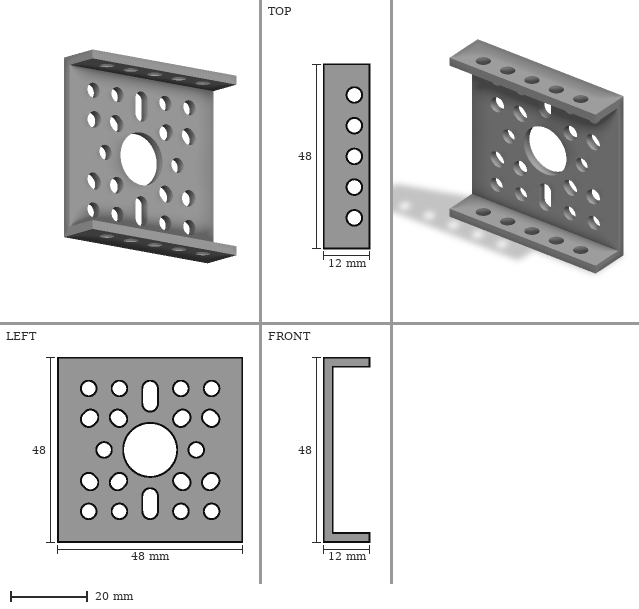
import cadquery as cq
import math

size = 48.0
depth = size / 4
wall = 2.4

pitch = size / 6
hole_diameter = pitch / 2
bore_diameter = 14.0
slot_length = pitch
slot_height = 7 * pitch / 4
side_hole_offset = 1.5 * pitch
stretch = 0.5


def web_cutter():
    """Start a sketch plane on the outer web face; local x is +Y, local y is +Z."""
    return cq.Workplane("YZ")


def diagonal_slot(y, z, y_direction, z_direction):
    """Short 45 degree slot starting at a grid point and running the given way."""
    middle = (y + y_direction * stretch / 2, z + z_direction * stretch / 2)
    angle = 45 * y_direction * z_direction
    length = hole_diameter + math.hypot(stretch, stretch)
    return web_cutter().center(*middle).slot2D(length, hole_diameter, angle).extrude(wall)


body = cq.Workplane("XY").box(depth, size, size, centered=(False, True, True))
cavity = cq.Workplane("XY").box(depth, size, size - 2 * wall, centered=(False, True, True))
result = body.cut(cavity.translate((wall, 0, 0)))

result = result.cut(web_cutter().circle(bore_diameter / 2).extrude(wall))

round_holes = [(y * pitch, z * pitch) for y in (-2, -1, 1, 2) for z in (-2, 2)]
round_holes += [(-side_hole_offset, 0), (side_hole_offset, 0)]
result = result.cut(web_cutter().pushPoints(round_holes).circle(hole_diameter / 2).extrude(wall))

slot_centres = [(0, -slot_height), (0, slot_height)]
vertical_slots = web_cutter().pushPoints(slot_centres).slot2D(slot_length, hole_diameter, 90)
result = result.cut(vertical_slots.extrude(wall))

for y_side in (-1, 1):
    for z_side in (-1, 1):
        inner_slot = diagonal_slot(y_side * pitch, z_side * pitch, y_side, z_side)
        outer_slot = diagonal_slot(y_side * 2 * pitch, z_side * pitch, -y_side, z_side)
        result = result.cut(inner_slot).cut(outer_slot)

flange_holes = [(pitch, row * pitch) for row in range(-2, 3)]
drills = cq.Workplane("XY").pushPoints(flange_holes).circle(hole_diameter / 2).extrude(size / 2, both=True)
result = result.cut(drills)